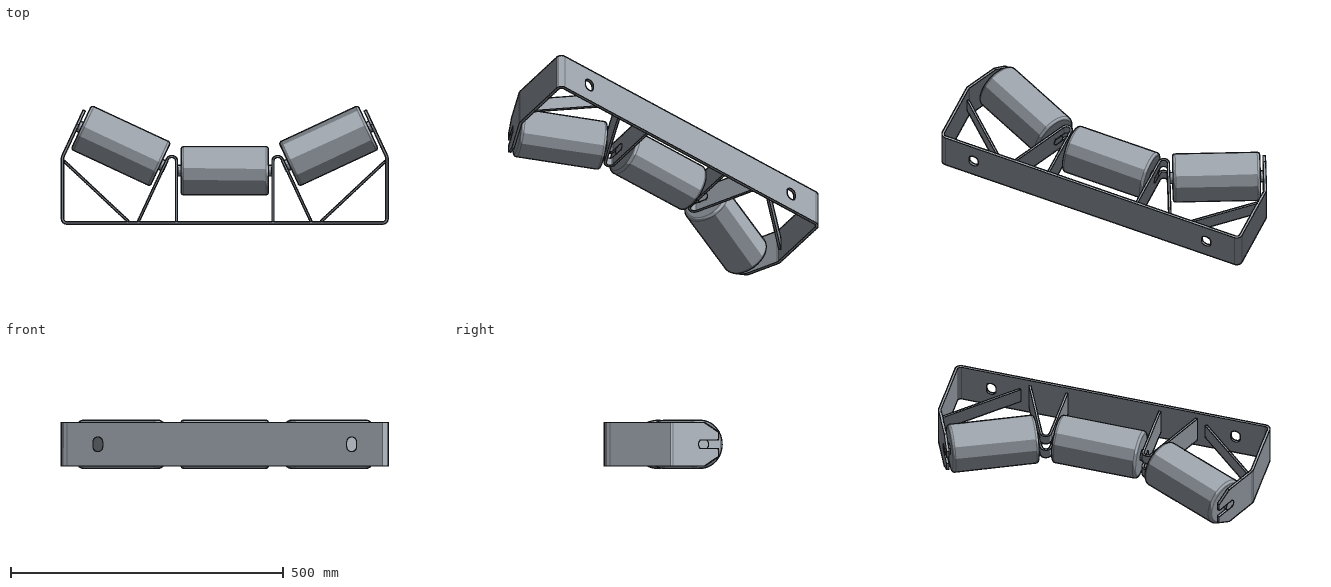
import cadquery as cq
import math

frame_length = 600.0
frame_height = 80.5
plate_thickness = 5.0
bend_inner_radius = 6.0
bend_outer_radius = bend_inner_radius + plate_thickness
trough_angle = 25.0

side_tip_level = 210.0
tip_chamfer_length = 28.0
tip_chamfer_height = 17.5

mount_slot_offset = 233.0
mount_slot_width = 18.0
mount_slot_height = 27.0

hanger_height = 54.0
hanger_thickness = 4.0
hanger_outer_radius = 11.0
hanger_inner_radius = hanger_outer_radius - hanger_thickness
hanger_face = 86.5
hanger_arc_level = 116.0

brace_thickness = 4.0
brace_height = 30.0
brace_top = (-294.0, 115.0)
brace_foot = (-177.0, 5.5)

roller_radius = 44.5
roller_length = 160.0
roller_edge_radius = 5.0
centre_roller_level = 98.5
side_roller_level = 144.0
shaft_radius = 10.0
shaft_shoulder = 86.0
shaft_flat_width = 16.0
slot_reach = 72.0
slot_depth = 15.0

half_length = frame_length / 2
tilt = math.radians(trough_angle)
sin_tilt = math.sin(tilt)
cos_tilt = math.cos(tilt)

hanger_arc = (-hanger_face - hanger_outer_radius, hanger_arc_level)
lean_face = hanger_arc[0] * cos_tilt - hanger_arc[1] * sin_tilt - hanger_outer_radius
side_roller_station = lean_face - shaft_shoulder
side_plate_face = side_roller_station - shaft_shoulder
side_roller_x = (side_roller_station + side_roller_level * sin_tilt) / cos_tilt

bend_centre_x = -half_length + bend_outer_radius
wall_straight_end = (bend_centre_x * cos_tilt - bend_inner_radius - side_plate_face) / sin_tilt


def prism(outline, height):
    """Extrude a closed XY outline symmetrically about Z = 0."""
    return outline.close().extrude(height / 2, both=True)


def on_arc(centre, radius, angle):
    """Point at the given angle in degrees on a circle."""
    a = math.radians(angle)
    return centre[0] + radius * math.cos(a), centre[1] + radius * math.sin(a)


def cylinder(radius, length):
    """Cylinder along X, centred at the origin."""
    return cq.Workplane("YZ").workplane(offset=-length / 2).circle(radius).extrude(length)


def flattened_shaft(length):
    """Shaft along X, centred at the origin, with flats above and below in Z."""
    flats = cq.Workplane("XY").box(length, 2 * shaft_radius, shaft_flat_width)
    return cylinder(shaft_radius, length).intersect(flats)


def mirrored(body):
    return body.mirror("YZ")


def place_side(body):
    """Turn a part built along X at the origin into the left roller position."""
    turned = body.rotate((0, 0, 0), (0, 0, 1), -trough_angle)
    return turned.translate((side_roller_x, side_roller_level, 0))


def in_roller_places(body):
    """Copies of a body built along X at the origin, at the left, centre and right rollers."""
    left = place_side(body)
    centre = body.translate((0, centre_roller_level, 0))
    return [left, centre, mirrored(left)]


def base_strip():
    strip_length = frame_length - 2 * bend_outer_radius
    strip = cq.Workplane("XY").box(strip_length, plate_thickness, frame_height)
    strip = strip.translate((0, plate_thickness / 2, 0))
    slots = (
        cq.Workplane("XZ")
        .pushPoints([(-mount_slot_offset, 0), (mount_slot_offset, 0)])
        .slot2D(mount_slot_height, mount_slot_width, 90)
        .extrude(plate_thickness, both=True)
    )
    return strip.cut(slots)


def tip_corner_cut(tip, side):
    """Wedge that chamfers one corner of the side plate; side is +1 or -1 in Z."""
    edge = side * frame_height / 2
    plane = cq.Plane(
        origin=(tip[0], tip[1], 0),
        xDir=(sin_tilt, cos_tilt, 0),
        normal=(cos_tilt, -sin_tilt, 0),
    )
    return (
        cq.Workplane(plane)
        .moveTo(0, edge)
        .lineTo(-tip_chamfer_length, edge)
        .lineTo(0, edge - side * tip_chamfer_height)
        .close()
        .extrude(2 * plate_thickness, both=True)
    )


def side_wall():
    corner = (bend_centre_x, bend_outer_radius)
    elbow = (bend_centre_x, wall_straight_end)
    corner_middle = 225
    elbow_middle = 180 - trough_angle / 2
    elbow_end = 180 - trough_angle
    elbow_outer = on_arc(elbow, bend_outer_radius, elbow_end)
    elbow_inner = on_arc(elbow, bend_inner_radius, elbow_end)
    arm = (side_tip_level - elbow_outer[1]) / cos_tilt
    rise = (arm * sin_tilt, arm * cos_tilt)
    tip_outer = (elbow_outer[0] + rise[0], elbow_outer[1] + rise[1])
    tip_inner = (elbow_inner[0] + rise[0], elbow_inner[1] + rise[1])
    outline = (
        cq.Workplane("XY")
        .moveTo(corner[0], 0)
        .threePointArc(on_arc(corner, bend_outer_radius, corner_middle), (-half_length, corner[1]))
        .lineTo(-half_length, wall_straight_end)
        .threePointArc(on_arc(elbow, bend_outer_radius, elbow_middle), elbow_outer)
        .lineTo(*tip_outer)
        .lineTo(*tip_inner)
        .lineTo(*elbow_inner)
        .threePointArc(
            on_arc(elbow, bend_inner_radius, elbow_middle),
            (-half_length + plate_thickness, wall_straight_end),
        )
        .lineTo(-half_length + plate_thickness, corner[1])
        .threePointArc(on_arc(corner, bend_inner_radius, corner_middle), (corner[0], plate_thickness))
    )
    wall = prism(outline, frame_height)
    return wall.cut(tip_corner_cut(tip_outer, 1)).cut(tip_corner_cut(tip_outer, -1))


def hanger():
    lean_outer = on_arc(hanger_arc, hanger_outer_radius, 180 - trough_angle)
    lean_inner = on_arc(hanger_arc, hanger_inner_radius, 180 - trough_angle)
    crown = 90 - trough_angle / 2

    def foot(top):
        return top[0] - (top[1] - plate_thickness) * math.tan(tilt), plate_thickness

    outline = (
        cq.Workplane("XY")
        .moveTo(-hanger_face, plate_thickness)
        .lineTo(-hanger_face, hanger_arc_level)
        .threePointArc(on_arc(hanger_arc, hanger_outer_radius, crown), lean_outer)
        .lineTo(*foot(lean_outer))
        .lineTo(*foot(lean_inner))
        .lineTo(*lean_inner)
        .threePointArc(
            on_arc(hanger_arc, hanger_inner_radius, crown),
            (-hanger_face - hanger_thickness, hanger_arc_level),
        )
        .lineTo(-hanger_face - hanger_thickness, plate_thickness)
    )
    return prism(outline, hanger_height)


def brace():
    run = brace_foot[0] - brace_top[0]
    drop = brace_foot[1] - brace_top[1]
    bar = cq.Workplane("XY").box(math.hypot(run, drop), brace_thickness, brace_height)
    bar = bar.rotate((0, 0, 0), (0, 0, 1), math.degrees(math.atan2(drop, run)))
    middle = ((brace_top[0] + brace_foot[0]) / 2, (brace_top[1] + brace_foot[1]) / 2, 0)
    return bar.translate(middle)


def shaft_slots():
    """Cutter for the slots at both ends of a roller at the origin: round bottom, open toward +Y."""
    inner_end = (roller_length / 2 + shaft_shoulder) / 2
    outer_end = inner_end + slot_depth
    channel = cq.Workplane("XY").box(2 * outer_end, slot_reach, shaft_flat_width)
    channel = channel.translate((0, slot_reach / 2, 0))
    keep_clear = cq.Workplane("XY").box(2 * inner_end, 2 * slot_reach, frame_height)
    return flattened_shaft(2 * outer_end).union(channel).cut(keep_clear)


def frame():
    left = side_wall().union(hanger()).union(brace())
    body = base_strip().union(left).union(mirrored(left))
    for cutter in in_roller_places(shaft_slots()):
        body = body.cut(cutter)
    return body


def roller():
    shell = cylinder(roller_radius, roller_length).edges().fillet(roller_edge_radius)
    journals = cylinder(shaft_radius, 2 * shaft_shoulder)
    shaft_ends = flattened_shaft(2 * (hanger_face + hanger_thickness))
    return shell.union(journals).union(shaft_ends)


frame_body = frame()
rollers = in_roller_places(roller())
result = cq.Compound.makeCompound([frame_body.solids().val(), *[body.solids().val() for body in rollers]])